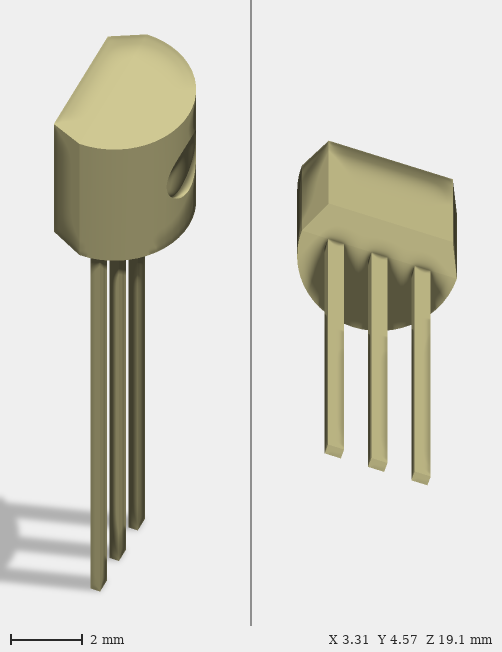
import cadquery as cq
import math

total_height = 19.05
package_diameter = 4.57
package_height = 4.57
package_depth = 3.31

shell_depth = 1.0
shell_face_width = 3.65
shell_end_drop = 0.08

dent_diameter = 2.0
dent_depth = 0.25
dent_above_middle = 0.17

lead_count = 3
lead_pitch = 1.28
lead_width = 0.48
lead_thickness = 0.29

package_radius = package_diameter / 2
package_bottom = total_height - package_height
package_middle = package_bottom + package_height / 2
back_x = package_depth - shell_depth
axis_x = back_x - package_radius
seam_half_width = math.sqrt(package_radius**2 - axis_x**2)


def make_round_shell():
    """Round back half of the package, with a blind round dent along X."""
    shell = (
        cq.Workplane("XY", origin=(0, 0, package_bottom))
        .moveTo(0, -seam_half_width)
        .threePointArc((back_x, 0), (0, seam_half_width))
        .close()
        .extrude(package_height)
    )
    dent = (
        cq.Workplane("YZ", origin=(back_x, 0, package_middle + dent_above_middle))
        .circle(dent_diameter / 2)
        .extrude(-dent_depth)
    )
    return shell.cut(dent)


def make_flat_shell():
    """Front half of the package, tapering from the parting plane to the flat face."""
    return (
        cq.Workplane("YZ", origin=(0, 0, package_middle))
        .rect(2 * seam_half_width, package_height)
        .workplane(offset=-shell_depth)
        .rect(shell_face_width, package_height - 2 * shell_end_drop)
        .loft(ruled=True)
    )


def make_lead(center_y):
    """Straight rectangular lead that ends at the underside of the round shell."""
    return (
        cq.Workplane("XY")
        .center(lead_thickness / 2, center_y)
        .rect(lead_thickness, lead_width)
        .extrude(package_bottom)
    )


round_shell = make_round_shell()
flat_shell = make_flat_shell()

leads = []
for index in range(lead_count):
    lead_y = (index - (lead_count - 1) / 2) * lead_pitch
    leads.append(make_lead(lead_y).val())

result = cq.Compound.makeCompound([round_shell.val(), flat_shell.val(), *leads])